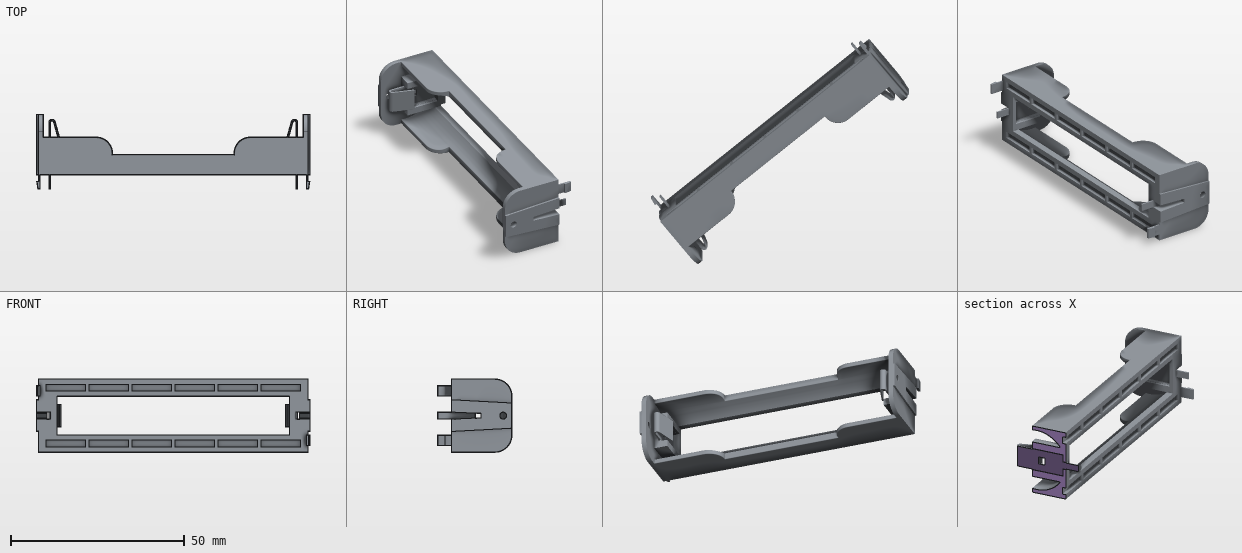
import cadquery as cq
import math


length = 79.0
pad_rise = 0.55
width = 21.2
depth = 17.45
pin_length = 4.0
end_wall = 1.4
end_corner_radius = 5.0

cheek_height = 10.9
rail_height = 5.9
cheek_end_x = 17.5
cheek_radius = 4.75
rim_radius = 0.15

cell_radius = 9.3
cell_axis_y = 9.5
window_length = 67.0
window_width = 11.05

recess_count = 6
recess_length = 11.45
recess_gap = 0.95
recess_width = 2.0
recess_depth = 1.0

pad_width_base = 9.2
pad_width_top = 7.3
eye_diameter = 2.0
eye_y = 14.9
slot_width_base = 2.05
slot_width_tip = 1.3
slot_height = 8.45

pocket_floor = 1.0
pocket_mouth_width = 7.1
pocket_mouth_depth = 0.8
pocket_throat_width = 6.95
pocket_back_x = 36.4

peg_outer_x = 38.9
peg_thickness = 0.4
peg_inner_z = 5.6
peg_width = 3.1
barb_y = -1.9
barb_x = 39.4
barb_tip_x = 39.1

strip = 0.5
contact_width = 6.5
contact_back_x = 35.95
bend_radius = 0.95
bend_y = 15.1
spring_angle = 15.5
spring_end_y = 9.25
opening_bottom = 6.9
opening_height = 2.0

half_length = length / 2
wall_outer_x = half_length - pad_rise
wall_inner_x = wall_outer_x - end_wall
half_window = window_length / 2
contact_front_x = contact_back_x - strip


def block(x_range, y_range, z_range):
    """Box between the given limits."""
    (x0, x1), (y0, y1), (z0, z1) = x_range, y_range, z_range
    return cq.Workplane("XY").box(x1 - x0, y1 - y0, z1 - z0, centered=False).translate((x0, y0, z0))


def centred(size):
    """Limits of a span of the given size about zero."""
    return (-size / 2, size / 2)


def both_ends(shape):
    """The +X shape and its half-turn copy at the -X end."""
    return [shape, shape.rotate((0, 0, 0), (0, 1, 0), 180)]


def tapered_plate(x_range, base_width, top_width, height):
    """Plate across X whose Z width changes evenly from the base up to the given height."""
    x0, x1 = x_range
    base = base_width / 2
    top = top_width / 2
    return (
        cq.Workplane("ZY", origin=(x1, 0, 0))
        .polyline([(-base, 0), (base, 0), (top, height), (-top, height)])
        .close()
        .extrude(x1 - x0)
    )


def side_walls():
    """Base and side walls, high at the ends and low in the middle, with the trough cut out."""
    corner_x = cheek_end_x + cheek_radius
    corner_y = cheek_height - cheek_radius
    arc_offset = cheek_radius * math.sqrt(0.5)
    arc_middle = (corner_x - arc_offset, corner_y + arc_offset)
    right_half = (
        cq.Workplane("XY", origin=(0, 0, -width / 2))
        .lineTo(wall_outer_x, 0)
        .lineTo(wall_outer_x, cheek_height)
        .lineTo(corner_x, cheek_height)
        .threePointArc(arc_middle, (cheek_end_x, corner_y))
        .lineTo(cheek_end_x, rail_height)
        .lineTo(0, rail_height)
        .close()
        .extrude(width)
    )
    walls = right_half.union(right_half.mirror("YZ"))
    trough = (
        cq.Workplane("YZ", origin=(-wall_outer_x, cell_axis_y, 0))
        .circle(cell_radius)
        .extrude(2 * wall_outer_x)
    )
    walls = walls.cut(trough)
    top_edges = cq.selectors.BoxSelector(
        (-half_length, rail_height - rim_radius, -width), (half_length, depth, width)
    )
    return walls.edges(top_edges).edges("not |Z").fillet(rim_radius)


def end_wall_plate():
    """End wall with rounded top corners and the tapered pad on its outside."""
    wall = block((wall_inner_x, wall_outer_x), (0, depth), centred(width))
    wall = wall.edges("|X").edges(">Y").fillet(end_corner_radius)
    pad = tapered_plate((wall_inner_x, half_length), pad_width_base, pad_width_top, depth)
    return wall.union(pad)


def contact_block():
    """Block inside the end wall that carries the contact."""
    return block((half_window, wall_inner_x), (0, cheek_height), centred(window_width))


def peg():
    """Barbed locating peg below one corner of the end."""
    inner_x = peg_outer_x - peg_thickness
    return (
        cq.Workplane("XY", origin=(0, 0, -peg_inner_z - peg_width))
        .polyline(
            [
                (inner_x, 0),
                (peg_outer_x, 0),
                (peg_outer_x, barb_y),
                (barb_x, barb_y),
                (barb_tip_x, -pin_length),
                (inner_x, -pin_length),
            ]
        )
        .close()
        .extrude(peg_width)
    )


def end_cuts():
    """Contact pocket, pin slot, tapered slot and eye of one end."""
    pocket_height = (pocket_floor, cheek_height)
    mouth = block((half_window, half_window + pocket_mouth_depth), pocket_height, centred(pocket_mouth_width))
    throat = block((half_window, contact_front_x), pocket_height, centred(pocket_throat_width))
    channel = block((contact_front_x, pocket_back_x), pocket_height, centred(contact_width))
    pin_slot = block((contact_front_x, pocket_back_x), (0, pocket_floor), centred(slot_width_base))
    wall_slot = tapered_plate((pocket_back_x, half_length), slot_width_base, slot_width_tip, slot_height)
    eye = (
        cq.Workplane("YZ", origin=(wall_inner_x, eye_y, 0))
        .circle(eye_diameter / 2)
        .extrude(half_length - wall_inner_x)
    )
    return [mouth, throat, channel, pin_slot, wall_slot, eye]


def base_recesses():
    """Two rows of shallow recesses in the base, one under each side wall."""
    pitch = recess_length + recess_gap
    row_z = (width + window_width) / 4
    recesses = []
    for row in (-row_z, row_z):
        for index in range(recess_count):
            x = (index - (recess_count - 1) / 2) * pitch
            recess = block(centred(recess_length), (0, recess_depth), centred(recess_width))
            recesses.append(recess.translate((x, 0, row)))
    return recesses


def make_housing():
    """Side walls joined with the features of both ends, then all openings cut."""
    body = side_walls()
    for part in (end_wall_plate(), contact_block(), peg()):
        for copy in both_ends(part):
            body = body.union(copy)
    window = block(centred(window_length), (0, cheek_height), centred(window_width))
    body = body.cut(window)
    for cutter in end_cuts():
        for copy in both_ends(cutter):
            body = body.cut(copy)
    for recess in base_recesses():
        body = body.cut(recess)
    return body


def make_contact():
    """Strip with a pin below, bent over at the top into a leaning spring leg."""
    lean = math.radians(spring_angle)
    bend_x = contact_back_x - bend_radius
    inner_radius = bend_radius - strip

    def on_bend(radius, angle):
        return (bend_x + radius * math.cos(angle), bend_y + radius * math.sin(angle))

    def spring_end(radius):
        x, y = on_bend(radius, math.pi - lean)
        return (x - (y - spring_end_y) * math.tan(lean), spring_end_y)

    middle = (math.pi - lean) / 2
    strip_body = (
        cq.Workplane("XY", origin=(0, 0, -contact_width / 2))
        .moveTo(contact_front_x, pocket_floor)
        .lineTo(contact_back_x, pocket_floor)
        .lineTo(contact_back_x, bend_y)
        .threePointArc(on_bend(bend_radius, middle), on_bend(bend_radius, math.pi - lean))
        .lineTo(*spring_end(bend_radius))
        .lineTo(*spring_end(inner_radius))
        .lineTo(*on_bend(inner_radius, math.pi - lean))
        .threePointArc(on_bend(inner_radius, middle), on_bend(inner_radius, 0))
        .close()
        .extrude(contact_width)
    )
    pin = block((contact_front_x, contact_back_x), (-pin_length, pocket_floor), centred(slot_width_base))
    opening = block(
        (contact_front_x, contact_back_x),
        (opening_bottom, opening_bottom + opening_height),
        centred(slot_width_base),
    )
    return strip_body.union(pin).cut(opening)


housing = make_housing()
contacts = both_ends(make_contact())
result = cq.Compound.makeCompound([housing.val(), *[contact.val() for contact in contacts]])